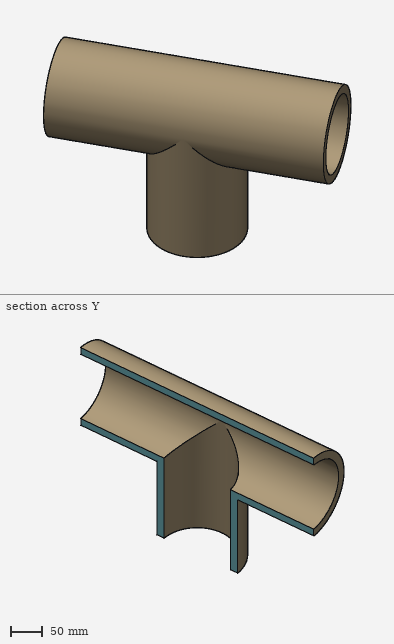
import cadquery as cq

outer_diameter = 160.0
bore_diameter = 130.8
run_length = 460.0
overall_height = 310.0
branch_length = overall_height - outer_diameter / 2


def run_cylinder(diameter):
    """Full-length cylinder on the run axis, centred on the origin."""
    return cq.Workplane("YZ").circle(diameter / 2).extrude(run_length / 2, both=True)


def branch_cylinder(diameter):
    """Cylinder from the run axis down to the open end of the branch."""
    return cq.Workplane("XY").circle(diameter / 2).extrude(-branch_length)


def tee_body(diameter):
    """Solid tee whose run and branch share one diameter."""
    return run_cylinder(diameter).union(branch_cylinder(diameter))


result = tee_body(outer_diameter).cut(tee_body(bore_diameter))